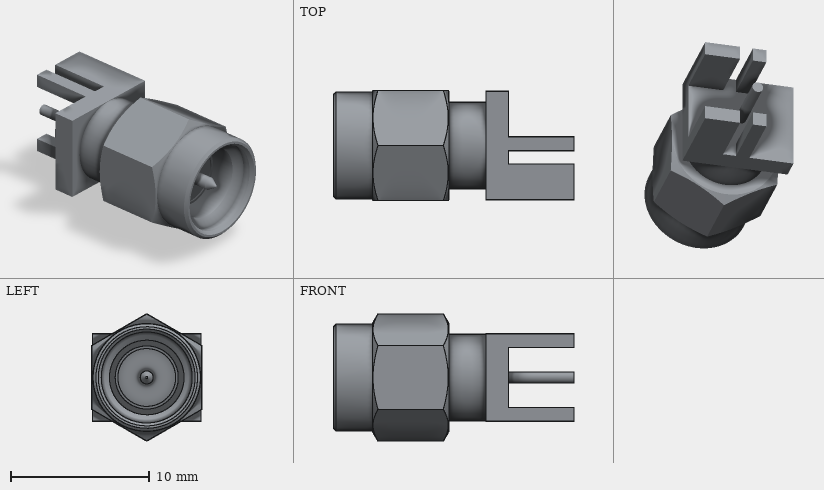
import cadquery as cq
import math

NUT_START = 2.83
NUT_END = 8.38
FLANGE_START = 11.05
FLANGE_END = 12.7
LENGTH = 17.45

HEX_FLATS = 8.0
HEX_CORNERS = HEX_FLATS / math.cos(math.radians(30))
HEX_END_RADIUS = 3.91
HEX_CHAMFER_ANGLE = 30.0
SLEEVE_RADIUS = 3.9
SLEEVE_CHAMFER = 0.21
NECK_RADIUS = 3.14

MOUTH_RADIUS = 3.5
MOUTH_DEPTH = 0.28
COUNTERBORE_RADIUS = 3.3
CONE_START = 0.87
BORE_RADIUS = 2.7
CONE_END = 1.41
SOCKET_DEPTH = 3.4
TUBE_RADIUS = 2.29
TUBE_START = 2.93
DIELECTRIC_RADIUS = 2.1
DIELECTRIC_RECESS = 0.1

CONTACT_RADIUS = 0.47
CONTACT_START = 0.55
CONTACT_TIP_RADIUS = 0.07
CONTACT_TIP_LENGTH = 0.68
TAIL_RADIUS = 0.4

FLANGE_WIDTH = 7.89
FLANGE_HEIGHT = 6.35
LEG_THICKNESS = 1.01
WIDE_LEG_WIDTH = 2.62
NARROW_LEG_BOTTOM = -0.37
NARROW_LEG_TOP = 0.65


def revolve_about_axis(points):
    """Revolve an (x, radius) outline about the connector axis."""
    return cq.Workplane("XY").polyline(points).close().revolve(360, (0, 0, 0), (1, 0, 0))


def cylinder(radius, start, end):
    return cq.Workplane("YZ").workplane(offset=start).circle(radius).extrude(end - start)


def box(x_range, y_range, z_range):
    ranges = (x_range, y_range, z_range)
    sizes = [high - low for low, high in ranges]
    corner = tuple(low for low, high in ranges)
    return cq.Workplane("XY").box(*sizes, centered=False).translate(corner)


def make_hex():
    """Hexagon with corners on Z, both ends turned down by a shallow cone."""
    corner_radius = HEX_CORNERS / 2
    chamfer_length = (corner_radius - HEX_END_RADIUS) * math.tan(math.radians(HEX_CHAMFER_ANGLE))
    prism = (
        cq.Workplane("YZ")
        .workplane(offset=NUT_START)
        .polygon(6, HEX_CORNERS)
        .extrude(NUT_END - NUT_START)
        .rotate((0, 0, 0), (1, 0, 0), 90)
    )
    envelope = revolve_about_axis([
        (NUT_START, 0),
        (NUT_START, HEX_END_RADIUS),
        (NUT_START + chamfer_length, corner_radius),
        (NUT_END - chamfer_length, corner_radius),
        (NUT_END, HEX_END_RADIUS),
        (NUT_END, 0),
    ])
    return prism.intersect(envelope)


def make_socket():
    """Stepped, tapered cavity that opens at the mating end."""
    return revolve_about_axis([
        (0, 0),
        (0, MOUTH_RADIUS),
        (MOUTH_DEPTH, COUNTERBORE_RADIUS),
        (CONE_START, COUNTERBORE_RADIUS),
        (CONE_END, BORE_RADIUS),
        (SOCKET_DEPTH, BORE_RADIUS),
        (SOCKET_DEPTH, 0),
    ])


def make_tube():
    """Contact tube rising from the socket floor around a slightly recessed dielectric."""
    tube = cylinder(TUBE_RADIUS, TUBE_START, NUT_END)
    return tube.cut(cylinder(DIELECTRIC_RADIUS, TUBE_START, TUBE_START + DIELECTRIC_RECESS))


def make_contact():
    """Pointed contact in the socket."""
    shoulder = CONTACT_START + CONTACT_TIP_LENGTH
    return revolve_about_axis([
        (CONTACT_START, 0),
        (CONTACT_START, CONTACT_TIP_RADIUS),
        (shoulder, CONTACT_RADIUS),
        (NUT_END, CONTACT_RADIUS),
        (NUT_END, 0),
    ])


def make_flange():
    """Rectangular flange with a wide and a narrow leg at its top and bottom."""
    half_width = FLANGE_WIDTH / 2
    half_height = FLANGE_HEIGHT / 2
    flange = box((FLANGE_START, FLANGE_END), (-half_width, half_width), (-half_height, half_height))
    leg_widths = [
        (-half_width, -half_width + WIDE_LEG_WIDTH),
        (NARROW_LEG_BOTTOM, NARROW_LEG_TOP),
    ]
    leg_heights = [
        (half_height - LEG_THICKNESS, half_height),
        (-half_height, -half_height + LEG_THICKNESS),
    ]
    for y_range in leg_widths:
        for z_range in leg_heights:
            flange = flange.union(box((FLANGE_START, LENGTH), y_range, z_range))
    return flange


sleeve = cylinder(SLEEVE_RADIUS, 0, NUT_START).faces("<X").chamfer(SLEEVE_CHAMFER)
neck = cylinder(NECK_RADIUS, NUT_END, FLANGE_START)
tail = cylinder(TAIL_RADIUS, FLANGE_START, LENGTH)

body = sleeve.union(make_hex()).union(neck).cut(make_socket())
result = body.union(make_tube()).union(make_contact()).union(make_flange()).union(tail)